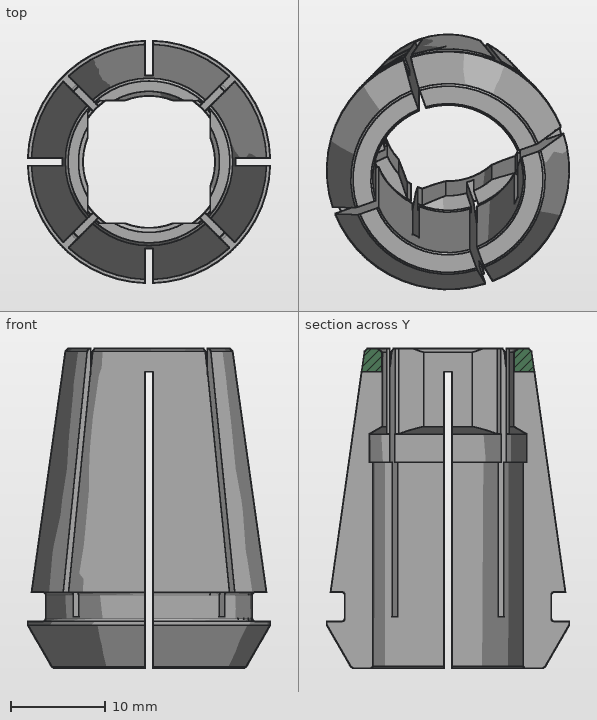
import cadquery as cq
import math

height = 34.0
flange_radius = 12.9
flange_rim_bottom = 4.6
flange_top = 5.0
nose_half_angle = 30.0
nose_edge_chamfer = 0.15
neck_radius = 11.0
neck_top = 8.1
neck_fillet = 0.3
taper_base_radius = 12.5
taper_half_angle = 8.0
tip_chamfer = 0.3

grip_bore_radius = 7.0
grip_depth = 8.3
square_side = 13.0
square_corner_radius = 8.35
relief_radius = 8.4
relief_length = 3.0
shank_bore_radius = 8.0
shank_bore_chamfer = 0.2
transition_half_angle = 60.0
mouth_radius = 7.5
mouth_chamfer_depth = 0.4

slot_width = 0.8
slot_length = 3 * flange_radius
axial_slot_top = 31.5
diagonal_slot_floor = 5.5


def tangent(degrees):
    return math.tan(math.radians(degrees))


grip_bottom = height - grip_depth
transition_height = (relief_radius - grip_bore_radius) / tangent(transition_half_angle)
transition_bottom = grip_bottom - transition_height
relief_bottom = transition_bottom - relief_length


def make_body():
    """Revolved outside: nose cone, flange rim, neck groove and long taper."""
    nose_radius = flange_radius - flange_rim_bottom * tangent(nose_half_angle)
    nose_edge_radius = nose_radius + nose_edge_chamfer * tangent(nose_half_angle)
    tip_base = height - tip_chamfer
    tip_radius = taper_base_radius - (tip_base - neck_top) * tangent(taper_half_angle)
    fillet_mid = neck_fillet * (1 - math.sqrt(0.5))
    return (
        cq.Workplane("XZ")
        .lineTo(nose_radius - nose_edge_chamfer, 0)
        .lineTo(nose_edge_radius, nose_edge_chamfer)
        .lineTo(flange_radius, flange_rim_bottom)
        .lineTo(flange_radius, flange_top)
        .lineTo(neck_radius + neck_fillet, flange_top)
        .threePointArc(
            (neck_radius + fillet_mid, flange_top + fillet_mid),
            (neck_radius, flange_top + neck_fillet),
        )
        .lineTo(neck_radius, neck_top - neck_fillet)
        .threePointArc(
            (neck_radius + fillet_mid, neck_top - fillet_mid),
            (neck_radius + neck_fillet, neck_top),
        )
        .lineTo(taper_base_radius, neck_top)
        .lineTo(tip_radius, tip_base)
        .lineTo(tip_radius - tip_chamfer, height)
        .lineTo(0, height)
        .close()
        .revolve(360, (0, 0, 0), (0, 1, 0))
    )


def make_bore():
    """Revolved bore: shank bore, relief groove, cone, grip bore and chamfered mouth."""
    return (
        cq.Workplane("XZ")
        .lineTo(shank_bore_radius + shank_bore_chamfer, 0)
        .lineTo(shank_bore_radius, shank_bore_chamfer)
        .lineTo(shank_bore_radius, relief_bottom)
        .lineTo(relief_radius, relief_bottom)
        .lineTo(relief_radius, transition_bottom)
        .lineTo(grip_bore_radius, grip_bottom)
        .lineTo(grip_bore_radius, height - mouth_chamfer_depth)
        .lineTo(mouth_radius, height)
        .lineTo(0, height)
        .close()
        .revolve(360, (0, 0, 0), (0, 1, 0))
    )


def make_square_socket():
    """Square drive socket with its corners rounded about the part axis."""
    socket_depth = height - transition_bottom
    base = cq.Workplane("XY", origin=(0, 0, transition_bottom))
    square = base.rect(square_side, square_side).extrude(socket_depth)
    corner_limit = base.circle(square_corner_radius).extrude(socket_depth)
    return square.intersect(corner_limit)


def make_slot(angle, bottom, top):
    """Slot across the whole diameter, turned about Z to the given angle."""
    return (
        cq.Workplane("XY", origin=(0, 0, bottom))
        .rect(slot_length, slot_width)
        .extrude(top - bottom)
        .rotate((0, 0, 0), (0, 0, 1), angle)
    )


result = make_body().cut(make_bore()).cut(make_square_socket())
for axial_angle in (0, 90):
    result = result.cut(make_slot(axial_angle, 0, axial_slot_top))
for diagonal_angle in (45, 135):
    result = result.cut(make_slot(diagonal_angle, diagonal_slot_floor, height))